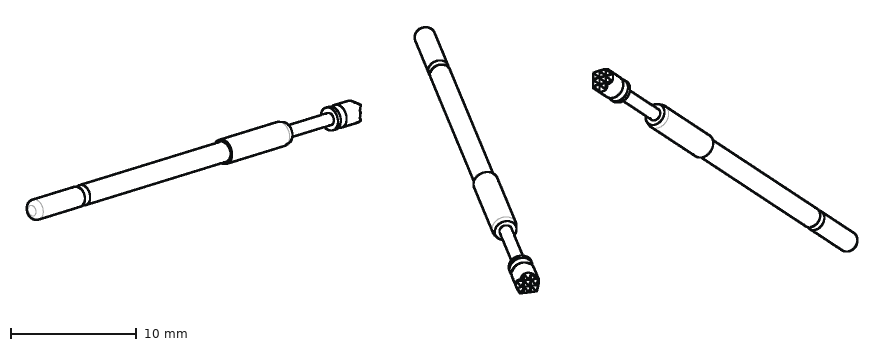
import cadquery as cq

length = 37.3
tip_y = length / 2
tail_y = -length / 2

head_diameter = 1.9
head_length = 3.02
head_groove_start = 2.0
head_groove_depth = 0.15
collar_thickness = 0.35
tip_pitch = 0.6
tips_per_side = 3
flank_slope = 1.4

stem_diameter = 1.0
sleeve_diameter = 2.0
sleeve_start = 8.2
sleeve_length = 7.1
lead_in_length = 0.45
lead_in_depth = 0.1

barrel_diameter = 1.68
barrel_groove_start = 31.48
barrel_groove_width = 0.6
barrel_groove_depth = 0.15
tail_radius = 0.4

head_groove_front = tip_y - head_groove_start
head_back = tip_y - head_length
collar_front = head_back + collar_thickness
sleeve_front = tip_y - sleeve_start
sleeve_back = sleeve_front - sleeve_length
barrel_groove_front = tip_y - barrel_groove_start
barrel_groove_back = barrel_groove_front - barrel_groove_width


def add_groove(profile, radius, depth, front, back):
    """Continue a profile along a shallow round groove, running from front to back."""
    middle = (front + back) / 2
    return profile.threePointArc((radius - depth, middle), (radius, back))


def turned_body():
    """Build everything that is round about the Y axis."""
    head_radius = head_diameter / 2
    stem_radius = stem_diameter / 2
    sleeve_radius = sleeve_diameter / 2
    barrel_radius = barrel_diameter / 2

    profile = cq.Workplane("XY").moveTo(0, tip_y)
    profile = profile.lineTo(head_radius, tip_y).lineTo(head_radius, head_groove_front)
    profile = add_groove(profile, head_radius, head_groove_depth, head_groove_front, collar_front)
    profile = profile.lineTo(head_radius, head_back).lineTo(stem_radius, head_back)

    profile = profile.lineTo(stem_radius, sleeve_front)
    profile = profile.lineTo(sleeve_radius - lead_in_depth, sleeve_front)
    profile = profile.lineTo(sleeve_radius, sleeve_front - lead_in_length)
    profile = profile.lineTo(sleeve_radius, sleeve_back).lineTo(barrel_radius, sleeve_back)

    profile = profile.lineTo(barrel_radius, barrel_groove_front)
    profile = add_groove(
        profile, barrel_radius, barrel_groove_depth, barrel_groove_front, barrel_groove_back
    )
    profile = profile.lineTo(barrel_radius, tail_y).lineTo(0, tail_y).close()

    body = profile.revolve(360, (0, 0, 0), (0, 1, 0))
    return body.faces("<Y").edges().fillet(tail_radius)


def serration_cutter():
    """Sawtooth-edged block, uniform along Z, that leaves one ridge per row of tips."""
    outer_ridge = tip_pitch * (tips_per_side - 1) / 2
    side = head_diameter
    valley_y = tip_y - flank_slope * tip_pitch / 2
    flank_end_y = tip_y - flank_slope * (side - outer_ridge)

    points = [(-side, flank_end_y), (-outer_ridge, tip_y)]
    for index in range(1, tips_per_side):
        ridge_x = -outer_ridge + index * tip_pitch
        points.append((ridge_x - tip_pitch / 2, valley_y))
        points.append((ridge_x, tip_y))
    points += [(side, flank_end_y), (side, tip_y + side), (-side, tip_y + side)]
    return cq.Workplane("XY").polyline(points).close().extrude(side, both=True)


result = turned_body()
for angle in (0, 90):
    result = result.cut(serration_cutter().rotate((0, 0, 0), (0, 1, 0), angle))